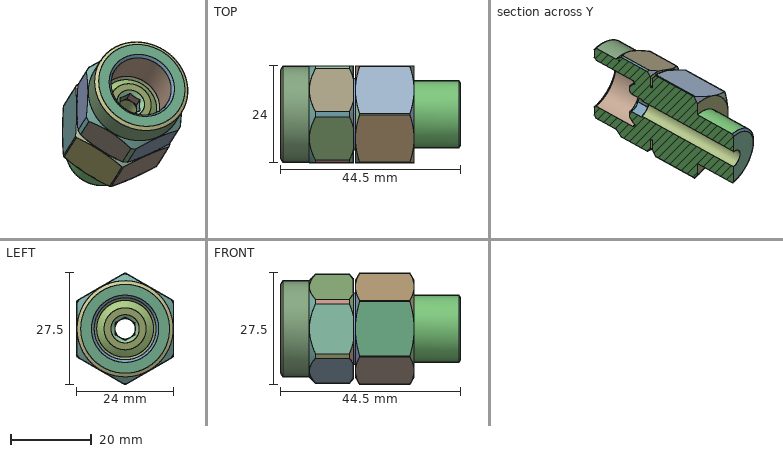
import cadquery as cq
import math

nut_hex_start = 7.0
nut_end = 18.0
body_hex_start = 18.5
body_hex_end = 33.0
total_length = 44.5

across_flats = 24.0
nut_corner_diameter = 27.0
body_corner_diameter = 27.5
collar_diameter = 23.8
collar_face_diameter = 22.0
neck_diameter = 17.8
thread_major_diameter = 16.66
thread_minor_diameter = 15.33

nut_back_face_diameter = 24.8
nut_back_chamfer_length = 1.0
body_face_diameter = across_flats
end_chamfer_angle = 30.0

nose_base_diameter = 14.08
nose_tip_diameter = 10.4
nose_sphere_diameter = neck_diameter
nose_base_x = 13.0
port_diameter = 5.0
port_mouth_diameter = 7.0
socket_across_flats = 5.0
socket_depth = 4.0


def sphere_height(radius):
    """Axial distance from the nose sphere's centre to its section of this radius."""
    return math.sqrt((nose_sphere_diameter / 2) ** 2 - radius ** 2)


base_radius = nose_base_diameter / 2
tip_radius = nose_tip_diameter / 2
nose_center_x = nose_base_x + sphere_height(base_radius)
nose_tip_x = nose_center_x - sphere_height(tip_radius)


def end_chamfer_length(outer_diameter, face_diameter):
    """Axial length of a chamfer whose cone leans end_chamfer_angle from the end face."""
    return (outer_diameter - face_diameter) / 2 * math.tan(math.radians(end_chamfer_angle))


def revolve_about_x(profile):
    """Turn a closed (x, radius) profile into a solid about the X axis."""
    return profile.close().revolve(360, (0, 0, 0), (1, 0, 0))


def hex_bar(flats, x_start, x_end):
    """Hexagonal bar along X with corners pointing to +Z and -Z."""
    corner_diameter = flats / math.cos(math.pi / 6)
    bar = cq.Workplane("YZ").polygon(6, corner_diameter).extrude(x_end - x_start)
    return bar.rotate((0, 0, 0), (1, 0, 0), 90).translate((x_start, 0, 0))


def chamfered_hex(x_start, x_end, corner_diameter, front_face, front_length, back_face, back_length):
    """Hexagon whose corners are turned down to a cylinder with a cone at each end."""
    turned = revolve_about_x(
        cq.Workplane("XY")
        .moveTo(x_start, 0)
        .lineTo(x_start, front_face / 2)
        .lineTo(x_start + front_length, corner_diameter / 2)
        .lineTo(x_end - back_length, corner_diameter / 2)
        .lineTo(x_end, back_face / 2)
        .lineTo(x_end, 0)
    )
    return hex_bar(across_flats, x_start, x_end).intersect(turned)


def turned_core():
    """Collar, neck and threaded stub as one turned shape."""
    collar_chamfer = end_chamfer_length(collar_diameter, collar_face_diameter)
    stub_chamfer = end_chamfer_length(thread_major_diameter, thread_minor_diameter)
    return revolve_about_x(
        cq.Workplane("XY")
        .lineTo(0, collar_face_diameter / 2)
        .lineTo(collar_chamfer, collar_diameter / 2)
        .lineTo(nut_hex_start, collar_diameter / 2)
        .lineTo(nut_hex_start, neck_diameter / 2)
        .lineTo(body_hex_end, neck_diameter / 2)
        .lineTo(body_hex_end, thread_major_diameter / 2)
        .lineTo(total_length - stub_chamfer, thread_major_diameter / 2)
        .lineTo(total_length, thread_minor_diameter / 2)
        .lineTo(total_length, 0)
    )


def nut_hex():
    front_length = (nut_corner_diameter - collar_diameter) / 2
    return chamfered_hex(
        nut_hex_start, nut_end, nut_corner_diameter,
        collar_diameter, front_length,
        nut_back_face_diameter, nut_back_chamfer_length,
    )


def body_hex():
    chamfer_length = end_chamfer_length(body_corner_diameter, body_face_diameter)
    return chamfered_hex(
        body_hex_start, body_hex_end, body_corner_diameter,
        body_face_diameter, chamfer_length,
        body_face_diameter, chamfer_length,
    )


def nut_bore():
    """Threaded bore with a chamfered mouth, closed by the spherical sealing nose."""
    minor_radius = thread_minor_diameter / 2
    mouth_radius = thread_major_diameter / 2
    mouth_chamfer = mouth_radius - minor_radius
    seat_taper = minor_radius - base_radius
    middle_radius = (base_radius + tip_radius) / 2
    return revolve_about_x(
        cq.Workplane("XY")
        .lineTo(0, mouth_radius)
        .lineTo(mouth_chamfer, minor_radius)
        .lineTo(nose_base_x - seat_taper, minor_radius)
        .lineTo(nose_base_x, base_radius)
        .threePointArc(
            (nose_center_x - sphere_height(middle_radius), middle_radius),
            (nose_tip_x, tip_radius),
        )
        .lineTo(nose_tip_x, 0)
    )


def port():
    """Through port with a 45 degree mouth."""
    port_radius = port_diameter / 2
    mouth_radius = port_mouth_diameter / 2
    return revolve_about_x(
        cq.Workplane("XY")
        .moveTo(nose_tip_x, 0)
        .lineTo(nose_tip_x, mouth_radius)
        .lineTo(nose_tip_x + mouth_radius - port_radius, port_radius)
        .lineTo(total_length, port_radius)
        .lineTo(total_length, 0)
    )


def hex_socket():
    return hex_bar(socket_across_flats, nose_tip_x, nose_tip_x + socket_depth)


result = turned_core().union(nut_hex()).union(body_hex())
result = result.cut(nut_bore()).cut(port()).cut(hex_socket())